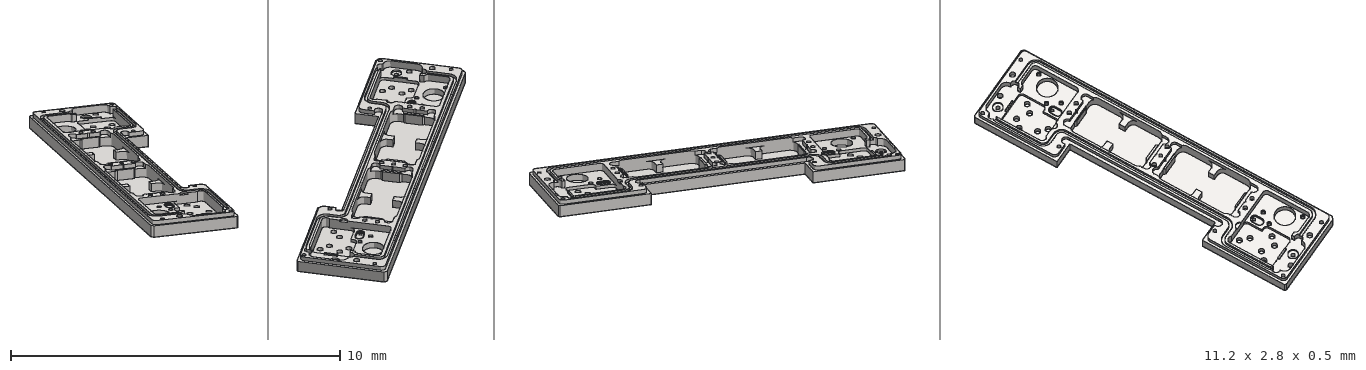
import cadquery as cq

LENGTH = 11.15
WIDTH = 2.8
HEIGHT = 0.5
NOTCH_HALF_WIDTH = 2.6
NOTCH_DEPTH = 0.74
NOTCH_Y = WIDTH / 2 - NOTCH_DEPTH
FRONT_CORNER_CHAMFER = 0.08
BACK_CORNER_CHAMFER = 0.05

PLATEAU_HEIGHT = 0.13
PLATEAU_INSET = 0.08
NOTCH_INSET = 0.1
PLATEAU_CORNER_RADIUS = 0.13
PLATEAU_EAR_RADIUS = 0.16
FLANGE_TOP = HEIGHT - PLATEAU_HEIGHT
EAR_X = NOTCH_HALF_WIDTH + PLATEAU_INSET
NOTCH_RELIEF_SHIFT = 0.05

CUTTER_DIAMETER = 0.26
CUTTER_RADIUS = CUTTER_DIAMETER / 2

GROOVE_WIDTH = 0.1
GROOVE_DEPTH = 0.09
GROOVE_X = 5.07
GROOVE_Y = 1.22
GROOVE_EAR_X = 3.12
GROOVE_NOTCH_Y = 0.44
GROOVE_BEND_RADIUS = 0.24

SHELF_FLOOR = 0.27
SHELF_OUTER_X = 5.425
SHELF_TOP_Y = 1.098
SHELF_BOTTOM_Y = -0.117
SHELF_CORNER_RADIUS = 0.21
SHELF_LOBE_OFFSET = 0.03
SHELF_LIP_WIDTH = 0.06
SHELF_LIP_HEIGHT = 0.05
SHELF_LIP_Y = (0.28, 0.69)

DEEP_FLOOR = 0.17
DEEP_OUTER_X = 4.85
DEEP_INNER_X = 3.31
DEEP_STEP_X = 3.91
DEEP_STEP_Y = 0.084
DEEP_RELIEF_X = 3.4

LOWER_FLOOR = 0.27
LOWER_OUTER_X = 4.95
LOWER_BOTTOM_Y = -1.06
LOWER_TOP_Y = -0.26

DISC_DIAMETER = 0.66
DISC_FLOOR = 0.07
DISC_CENTER = (4.25, -0.69)
CRESCENT_X = 3.33
CRESCENT_DEPTH = 0.06

BAY_FLOOR = 0.09
BAY_INNER_X = 0.284
BAY_OUTER_X = 2.871
BAY_CENTER_Y = -0.38
BAY_HALF_WIDTH = 0.7
BAY_CORNER_RADIUS = 0.22

STEP_FLOOR = 0.37
STEP_HALF_WIDTH = 0.641
STEP_INNER_X = 0.15
STEP_OUTER_X = 3.01
STEP_INNER_LOBE_X = 0.18
LIP_TOP = 0.41
LIP_HALF_LENGTH = 0.32
LIP_END_TAPER = 0.06
INNER_LIP_WIDTH = 0.07
OUTER_LIP_WIDTH = 0.05
DIMPLE_DIAMETER = 0.06
DIMPLE_DEPTH = 0.06
DIMPLE_XS = (0.17, STEP_OUTER_X)

TAB_X = 1.6
TAB_WIDTH = 0.21
TAB_LENGTH = 0.36
TAB_TOP = 0.35
TAB_ROOT_RADIUS = 0.19

SCREW_DIAMETER = 0.11
SCREW_CENTERS = ((5.37, 1.22), (5.37, -0.98), (2.79, 0.98))
PIN_DIAMETER = 0.095
PIN_COUNTERBORE = 0.13
PIN_COUNTERBORE_DEPTH = 0.06
PIN_CENTERS = ((3.98, -0.217), (3.61, -0.463), (4.72, -0.96))

BLIND_DEPTH = 0.17
TIP_SLOPE = 0.6
END_BLIND_DIAMETER = 0.18
END_BLIND_CENTER = (5.313, -0.407)
WALL_BLIND_DIAMETER = 0.13
WALL_BLIND_X = 3.14
WALL_BLIND_SPACING = 0.39
CENTER_BLIND_SPACING = 0.74
CENTER_HOLE_DIAMETER = 0.11

FEED_DIAMETER = 0.18
FEED_OFFSET = 0.117
QUAD_X = 4.376
QUAD_YS = (0.79, 0.184)
PAIR_X = 3.607
PAIR_Y = 0.59
SLOT_Y = -0.128
SLOT_LENGTH = 0.43
SLOT_WIDTH = CUTTER_DIAMETER
SLOT_DEPTH = 0.03
SLOT_LEDGE = 0.017
SLOT_PIN_OFFSET = 0.11
VENT_DIAMETER = 0.17
VENT_X = 5.313
PORT_X = 5.16
PORT_DIAMETER = 0.12
PORT_COUNTERBORE = 0.32
PORT_COUNTERBORE_DEPTH = 0.06
SHELF_HOLE_Y = 0.49
SHELF_HOLE_OFFSET = 0.184


def box(x0, x1, y0, y1, z0, z1):
    """Box between two corners, which may be given in either order along Y."""
    bottom = min(y0, y1)
    return cq.Workplane("XY", origin=(x0, bottom, z0)).box(x1 - x0, abs(y1 - y0), z1 - z0, centered=False)


def pillar(x, y, diameter, z0, z1=HEIGHT):
    """Upright cylinder, used as a round cutter."""
    return cq.Workplane("XY", origin=(x, y, z0)).circle(diameter / 2).extrude(z1 - z0)


def drilled(x, y, diameter):
    """Blind hole from the top face, ending in a drill-point cone."""
    radius = diameter / 2
    depth_z = HEIGHT - BLIND_DEPTH
    profile = [(0, HEIGHT), (radius, HEIGHT), (radius, depth_z), (0, depth_z - radius * TIP_SLOPE)]
    hole = cq.Workplane("XZ").polyline(profile).close().revolve(360, (0, 0), (0, 1))
    return hole.translate((x, y, 0))


def prism(points, z0, z1):
    return cq.Workplane("XY", origin=(0, 0, z0)).polyline(points).close().extrude(z1 - z0)


def mirrored_pair(shape):
    return shape.union(shape.mirror("YZ"))


def notched_block(end_x, edge_y, ear_x, notch_y, z0, z1):
    """Rectangle with the wide notch in its +Y side, extruded from z0 to z1."""
    right_half = [(end_x, -edge_y), (end_x, edge_y), (ear_x, edge_y), (ear_x, notch_y)]
    left_half = [(-x, y) for x, y in reversed(right_half)]
    return prism(right_half + left_half, z0, z1)


def upright_edges(shape, x, y):
    """The two upright edges at (x, y) and (-x, y)."""
    reach = 0.001
    span = cq.selectors.BoxSelector((-x - reach, y - reach, 0), (x + reach, y + reach, HEIGHT))
    return shape.edges("|Z").edges(span)


def body():
    edge_y = WIDTH / 2
    flange = notched_block(LENGTH / 2, edge_y, NOTCH_HALF_WIDTH, NOTCH_Y, 0, FLANGE_TOP)
    flange = flange.edges("|Z and <Y").chamfer(FRONT_CORNER_CHAMFER)
    flange = flange.edges("|Z and (<X or >X) and >Y").chamfer(BACK_CORNER_CHAMFER)

    top_y = edge_y - PLATEAU_INSET
    notch_y = NOTCH_Y - NOTCH_INSET
    plateau = notched_block(LENGTH / 2 - PLATEAU_INSET, top_y, EAR_X, notch_y, FLANGE_TOP, HEIGHT)
    plateau = plateau.edges("|Z and (<X or >X)").fillet(PLATEAU_CORNER_RADIUS)
    plateau = upright_edges(plateau, EAR_X, top_y).fillet(PLATEAU_EAR_RADIUS)
    relief = pillar(EAR_X + NOTCH_RELIEF_SHIFT, notch_y + CUTTER_RADIUS, CUTTER_DIAMETER, FLANGE_TOP)
    return flange.union(plateau.cut(mirrored_pair(relief)))


def groove_block(offset):
    """Area enclosed by the groove centre line, grown outward by offset."""
    ear_x = GROOVE_EAR_X - offset
    notch_y = GROOVE_NOTCH_Y + offset
    edge_y = GROOVE_Y + offset
    block = notched_block(GROOVE_X + offset, edge_y, ear_x, notch_y, HEIGHT - GROOVE_DEPTH, HEIGHT)
    block = upright_edges(block, ear_x, notch_y).fillet(GROOVE_BEND_RADIUS - offset)
    return block.edges("|Z and (<X or >X or >Y)").fillet(GROOVE_BEND_RADIUS + offset)


def seal_groove():
    return groove_block(GROOVE_WIDTH / 2).cut(groove_block(-GROOVE_WIDTH / 2))


def shelf():
    start_x = DEEP_OUTER_X - CUTTER_RADIUS
    pocket = box(start_x, SHELF_OUTER_X, SHELF_BOTTOM_Y, SHELF_TOP_Y, SHELF_FLOOR, HEIGHT)
    pocket = pocket.edges("|Z and >X").fillet(SHELF_CORNER_RADIUS)
    for y in (SHELF_TOP_Y + SHELF_LOBE_OFFSET, SHELF_BOTTOM_Y - SHELF_LOBE_OFFSET):
        pocket = pocket.union(pillar(GROOVE_X, y, CUTTER_DIAMETER, SHELF_FLOOR))
    lip_x = DEEP_OUTER_X + SHELF_LIP_WIDTH
    lip = box(DEEP_OUTER_X, lip_x, *SHELF_LIP_Y, SHELF_FLOOR, SHELF_FLOOR + SHELF_LIP_HEIGHT)
    return pocket.cut(lip)


def deep_pocket():
    points = [
        (DEEP_OUTER_X, SHELF_TOP_Y),
        (DEEP_OUTER_X, SHELF_BOTTOM_Y),
        (DEEP_STEP_X, SHELF_BOTTOM_Y),
        (DEEP_STEP_X, DEEP_STEP_Y),
        (DEEP_INNER_X, DEEP_STEP_Y),
        (DEEP_INNER_X, SHELF_TOP_Y),
    ]
    pocket = prism(points, DEEP_FLOOR, HEIGHT)
    pocket = pocket.edges("|Z and (>X or <X or <Y)").fillet(CUTTER_RADIUS)
    relief = pillar(DEEP_RELIEF_X, SHELF_TOP_Y - CUTTER_RADIUS, CUTTER_DIAMETER, DEEP_FLOOR)
    return pocket.union(relief)


def lower_pocket():
    pocket = box(DEEP_INNER_X, LOWER_OUTER_X, LOWER_BOTTOM_Y, LOWER_TOP_Y, LOWER_FLOOR, HEIGHT)
    pocket = pocket.edges("|Z and (<Y or >X)").fillet(CUTTER_RADIUS)
    opening_top = SHELF_TOP_Y - CUTTER_RADIUS
    opening_bottom = LOWER_TOP_Y - CUTTER_RADIUS
    opening = box(DEEP_INNER_X, DEEP_OUTER_X, opening_bottom, opening_top, LOWER_FLOOR, HEIGHT)
    disc = pillar(*DISC_CENTER, DISC_DIAMETER, DISC_FLOOR)
    crescent = pillar(CRESCENT_X, GROOVE_NOTCH_Y, CUTTER_DIAMETER, HEIGHT - CRESCENT_DEPTH)
    return pocket.union(opening).union(disc).union(crescent)


def bay_tab(side):
    """Tab on the long bay wall at the given Y side, flared by a fillet at its root."""
    root = BAY_CENTER_Y + side * BAY_HALF_WIDTH
    knee = root - side * TAB_ROOT_RADIUS
    half = TAB_WIDTH / 2
    flare = half + TAB_ROOT_RADIUS
    foot = box(TAB_X - flare, TAB_X + flare, root, knee, BAY_FLOOR, TAB_TOP)
    for end in (-1, 1):
        foot = foot.cut(pillar(TAB_X + end * flare, knee, 2 * TAB_ROOT_RADIUS, BAY_FLOOR))
    blade = box(TAB_X - half, TAB_X + half, root, root - side * TAB_LENGTH, BAY_FLOOR, TAB_TOP)
    return foot.union(blade)


def bay_lip(edge_x, reach):
    """Narrow lip with tapered ends that stands along a bay edge and reaches into the bay."""
    outer = LIP_HALF_LENGTH
    inner = LIP_HALF_LENGTH - LIP_END_TAPER
    points = [(edge_x, -outer), (edge_x + reach, -inner), (edge_x + reach, inner), (edge_x, outer)]
    return prism(points, BAY_FLOOR, LIP_TOP).translate((0, BAY_CENTER_Y, 0))


def bay():
    bottom = BAY_CENTER_Y - BAY_HALF_WIDTH
    top = BAY_CENTER_Y + BAY_HALF_WIDTH
    pocket = box(BAY_INNER_X, BAY_OUTER_X, bottom, top, BAY_FLOOR, HEIGHT)
    pocket = pocket.edges("|Z").fillet(BAY_CORNER_RADIUS)

    step_bottom = BAY_CENTER_Y - STEP_HALF_WIDTH
    step_top = BAY_CENTER_Y + STEP_HALF_WIDTH
    pocket = pocket.union(box(STEP_INNER_X, STEP_OUTER_X, step_bottom, step_top, STEP_FLOOR, HEIGHT))
    for y in (step_bottom + CUTTER_RADIUS, step_top - CUTTER_RADIUS):
        for x in (STEP_INNER_LOBE_X, STEP_OUTER_X):
            pocket = pocket.union(pillar(x, y, CUTTER_DIAMETER, STEP_FLOOR))
    for x in DIMPLE_XS:
        pocket = pocket.union(pillar(x, BAY_CENTER_Y, DIMPLE_DIAMETER, STEP_FLOOR - DIMPLE_DEPTH))

    for side in (-1, 1):
        pocket = pocket.cut(bay_tab(side))
    pocket = pocket.cut(bay_lip(BAY_INNER_X, INNER_LIP_WIDTH))
    return pocket.cut(bay_lip(BAY_OUTER_X, -OUTER_LIP_WIDTH))


def mirrored_holes():
    holes = drilled(*END_BLIND_CENTER, END_BLIND_DIAMETER)
    for side in (-1, 1):
        y = BAY_CENTER_Y + side * WALL_BLIND_SPACING / 2
        holes = holes.union(drilled(WALL_BLIND_X, y, WALL_BLIND_DIAMETER))
    for x, y in SCREW_CENTERS:
        holes = holes.union(pillar(x, y, SCREW_DIAMETER, 0))
    for x, y in PIN_CENTERS:
        holes = holes.union(pillar(x, y, PIN_DIAMETER, 0))
        holes = holes.union(pillar(x, y, PIN_COUNTERBORE, LOWER_FLOOR - PIN_COUNTERBORE_DEPTH))
    return holes


def center_holes():
    holes = pillar(0, BAY_CENTER_Y, CENTER_HOLE_DIAMETER, 0)
    for side in (-1, 1):
        y = BAY_CENTER_Y + side * CENTER_BLIND_SPACING / 2
        holes = holes.union(drilled(0, y, WALL_BLIND_DIAMETER))
    return holes


def connector_holes(end):
    """Holes of one end compartment; end is -1 at -X and 1 at +X."""
    port = (end * PORT_X, SHELF_HOLE_Y + end * SHELF_HOLE_OFFSET)
    holes = pillar(*port, PORT_DIAMETER, 0)
    holes = holes.union(pillar(*port, PORT_COUNTERBORE, SHELF_FLOOR - PORT_COUNTERBORE_DEPTH))
    vent_y = SHELF_HOLE_Y - end * SHELF_HOLE_OFFSET
    holes = holes.union(pillar(end * VENT_X, vent_y, VENT_DIAMETER, 0))

    for shift in (-FEED_OFFSET, FEED_OFFSET):
        for y in QUAD_YS:
            holes = holes.union(pillar(end * QUAD_X + shift, y - shift, FEED_DIAMETER, 0))
        holes = holes.union(pillar(end * PAIR_X + shift, PAIR_Y + shift, FEED_DIAMETER, 0))

    for level in (1, 2):
        shrink = 2 * SLOT_LEDGE * (level - 1)
        floor = LOWER_FLOOR - level * SLOT_DEPTH
        slot = cq.Workplane("XY", origin=(end * PAIR_X, SLOT_Y, floor))
        holes = holes.union(slot.slot2D(SLOT_LENGTH - shrink, SLOT_WIDTH - shrink).extrude(HEIGHT - floor))
    return holes.union(pillar(end * PAIR_X + SLOT_PIN_OFFSET, SLOT_Y, PIN_DIAMETER, 0))


result = body().cut(seal_groove())
for cutter in (shelf(), deep_pocket(), lower_pocket(), bay(), mirrored_holes()):
    result = result.cut(mirrored_pair(cutter))
result = result.cut(center_holes())
for end in (-1, 1):
    result = result.cut(connector_holes(end))